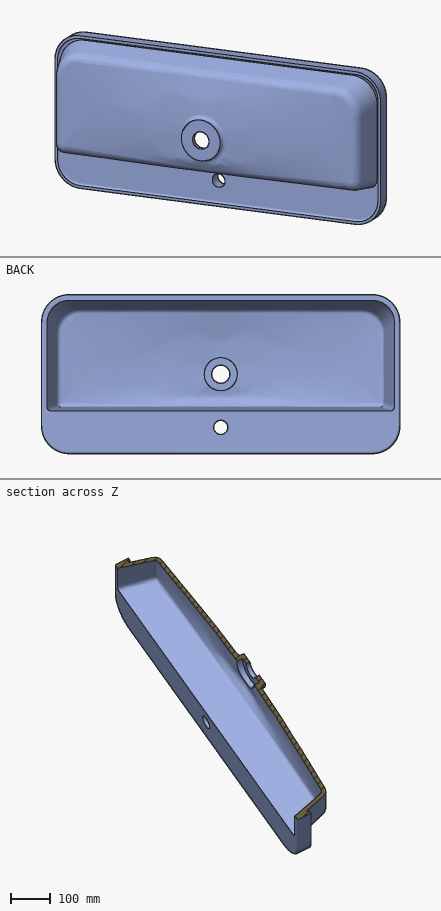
import cadquery as cq
import math


RIM_WIDTH = 900.0
RIM_HEIGHT = 400.0
RIM_DEPTH = 40.0
RIM_CORNER_RADIUS = 70.0
RIM_TOP_ROUND = 5.0

LIP_WIDTH = 7.5
RECESS_DEPTH = 5.0
RECESS_ROUND = 4.95
DECK_DEPTH = RIM_DEPTH - RECESS_DEPTH

BOWL_HALF_WIDTH = 438.0
BOWL_TOP = 188.0
BOWL_BOTTOM = -100.5
SIDE_DRAFT = 16.0
TOP_DRAFT = 15.0
BOTTOM_DRAFT = 6.0
UPPER_CORNER_RADIUS = 68.0
LOWER_CORNER_RADIUS = 23.0

FLOOR_EDGE_DEPTH = 109.0
FLOOR_DRAIN_DEPTH = 127.0
FLOOR_EDGE_ROUND = 23.0
WALL = 12.0

FLOOR_SUPPORTS = 8

TOTAL_DEPTH = 142.0
BOSS_RADIUS = 53.5
BOSS_FLARE_RADIUS = 9.5
BOSS_FOOT_RADIUS = BOSS_RADIUS + BOSS_FLARE_RADIUS
OUTLET_DIAMETER = 45.0
SEAT_RADIUS = BOSS_RADIUS - WALL

TAP_DIAMETER = 35.0
TAP_Z = -133.5


CORNER_STEPS = (0, 45, 90)


def plane_at(depth):
    """Workplane facing -Y at the given depth; its local axes are X and Z."""
    return cq.Workplane("XZ", origin=(0, -depth, 0))


def rounded_slab(start, end, inset):
    """Slab with the rim's outline, inset all round, between two depths."""
    slab = plane_at(start).rect(RIM_WIDTH - 2 * inset, RIM_HEIGHT - 2 * inset).extrude(end - start)
    return slab.edges("|Y").fillet(RIM_CORNER_RADIUS - inset)


def bowl_corners(depth, inset):
    """Corner arcs of the bowl outline as (centre x, centre z, radius, start angle), anticlockwise."""
    fall = depth - DECK_DEPTH
    half_width = BOWL_HALF_WIDTH - inset - fall * math.tan(math.radians(SIDE_DRAFT))
    top = BOWL_TOP - inset - fall * math.tan(math.radians(TOP_DRAFT))
    bottom = BOWL_BOTTOM + inset + fall * math.tan(math.radians(BOTTOM_DRAFT))
    upper = UPPER_CORNER_RADIUS - inset
    lower = LOWER_CORNER_RADIUS - inset
    return [
        (half_width - upper, top - upper, upper, 0),
        (upper - half_width, top - upper, upper, 90),
        (lower - half_width, bottom + lower, lower, 180),
        (half_width - lower, bottom + lower, lower, 270),
    ]


def point_on_arc(centre_x, centre_z, radius, angle, depth):
    turn = math.radians(angle)
    return cq.Vector(centre_x + radius * math.cos(turn), -depth, centre_z + radius * math.sin(turn))


def bowl_wire(depth, inset):
    """Bowl outline at a depth: four straight sides joined by four corner arcs."""
    edges = []
    corners = bowl_corners(depth, inset)
    for index, (x, z, radius, start) in enumerate(corners):
        begin, middle, end = [point_on_arc(x, z, radius, start + step, depth) for step in CORNER_STEPS]
        next_x, next_z, next_radius, next_start = corners[(index + 1) % len(corners)]
        following = point_on_arc(next_x, next_z, next_radius, next_start, depth)
        edges.append(cq.Edge.makeThreePointArc(begin, middle, end))
        edges.append(cq.Edge.makeLine(end, following))
    return cq.Wire.assembleEdges(edges)


def bowl_floor(edge_depth, inset):
    """Smooth face hung from the floor's edge and passing through the foot of the drain boss."""
    drain_depth = FLOOR_DRAIN_DEPTH - inset
    supports = [cq.Vector(0, -drain_depth, 0)]
    for step in range(FLOOR_SUPPORTS):
        supports.append(point_on_arc(0, 0, BOSS_FOOT_RADIUS, step * 360 / FLOOR_SUPPORTS, drain_depth))
    return cq.Face.makeNSidedSurface(bowl_wire(edge_depth, inset).Edges(), supports)


def bowl_body(start, inset):
    """Drafted bowl with a sloping floor, shrunk by an inset on every side."""
    edge_depth = FLOOR_EDGE_DEPTH - inset
    frustum = cq.Solid.makeLoft([bowl_wire(start, inset), bowl_wire(edge_depth, inset)], True)
    flat_end = cq.Workplane(frustum).faces("<Y").val()
    kept_faces = [face for face in frustum.Faces() if not face.isSame(flat_end)]
    shell = cq.Shell.makeShell(kept_faces + [bowl_floor(edge_depth, inset)])
    body = cq.Solid.makeSolid(shell)
    floor_face = cq.Workplane(body).faces("<Y").val()
    return cq.Workplane(body.fillet(FLOOR_EDGE_ROUND - inset, floor_face.Edges()))


def rim():
    slab = rounded_slab(0, RIM_DEPTH, 0).faces(">Y").edges().fillet(RIM_TOP_ROUND)
    recess = rounded_slab(DECK_DEPTH, RIM_DEPTH, LIP_WIDTH).faces(">Y").edges().fillet(RECESS_ROUND)
    return slab.cut(recess)


def bowl_with_boss():
    """Outside of the bowl with the drain boss under it, flaring out to meet the floor."""
    bowl_start = DECK_DEPTH / 2
    bowl = bowl_body(bowl_start, 0)
    boss_start = FLOOR_DRAIN_DEPTH - WALL
    boss = plane_at(boss_start).circle(BOSS_RADIUS).extrude(TOTAL_DEPTH - boss_start)
    middle_of_boss = (FLOOR_DRAIN_DEPTH + TOTAL_DEPTH) / 2
    boss_foot = cq.selectors.BoxSelector(
        (-BOSS_FOOT_RADIUS, -middle_of_boss, -BOSS_FOOT_RADIUS),
        (BOSS_FOOT_RADIUS, -boss_start, BOSS_FOOT_RADIUS),
        boundingbox=True,
    )
    return bowl.union(boss).edges(boss_foot).fillet(BOSS_FLARE_RADIUS)


def drain_opening():
    """Seat sunk into the bowl floor, and the outlet through the boss."""
    seat_start = FLOOR_DRAIN_DEPTH - 2 * WALL
    seat = plane_at(seat_start).circle(SEAT_RADIUS).extrude(TOTAL_DEPTH - WALL - seat_start)
    outlet = plane_at(seat_start).circle(OUTLET_DIAMETER / 2).extrude(TOTAL_DEPTH - seat_start)
    return seat.union(outlet)


def tap_hole():
    return plane_at(0).center(0, TAP_Z).circle(TAP_DIAMETER / 2).extrude(RIM_DEPTH)


outside = rim().union(bowl_with_boss())
result = outside.cut(bowl_body(0, WALL)).cut(drain_opening()).cut(tap_hole())